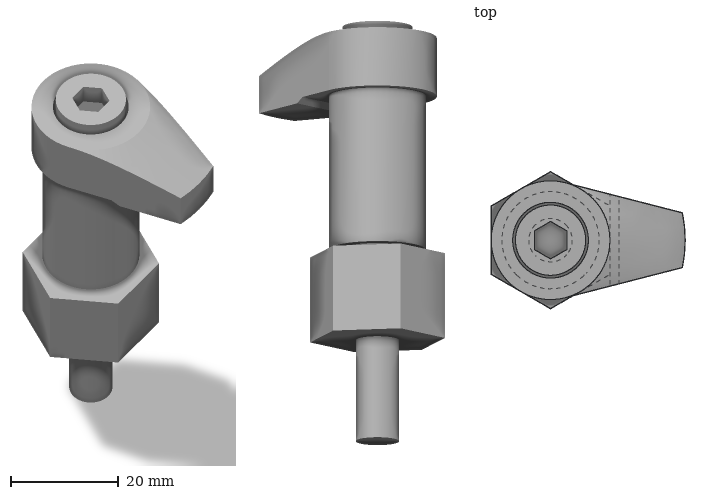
import cadquery as cq
import math

total_height = 78.0
lever_top = 76.0
lever_bottom = 65.0
sleeve_bottom = 36.0
hex_top = 35.0
hex_bottom = 19.0

hub_radius = 11.0
arm_reach = 24.95
arm_taper_angle = math.radians(14.4)
arm_tip_drop = 4.9
grip_drop = 0.9
grip_ramp_length = 1.6
sleeve_diameter = 18.0
bore_diameter = 14.05

hex_across_flats = 2 * hub_radius
stud_diameter = 8.0

screw_diameter = 13.0
socket_across_flats = 6.0
socket_depth = 4.0


def cylinder(diameter, bottom, top):
    return cq.Workplane("XY").workplane(offset=bottom).circle(diameter / 2).extrude(top - bottom)


def hexagon(across_flats, bottom, top):
    """Hexagonal prism with two corners on the Y axis."""
    across_corners = across_flats / math.cos(math.pi / 6)
    prism = cq.Workplane("XY").workplane(offset=bottom).polygon(6, across_corners).extrude(top - bottom)
    return prism.rotate((0, 0, 0), (0, 0, 1), 30)


def make_arm():
    """Arm with sides tangent to the hub, a conical top and a dropped underside."""
    tangent_x = hub_radius * math.sin(arm_taper_angle)
    tangent_y = hub_radius * math.cos(arm_taper_angle)
    side_length = math.sqrt(arm_reach**2 - hub_radius**2)
    corner_x = tangent_x + side_length * math.cos(arm_taper_angle)
    corner_y = tangent_y - side_length * math.sin(arm_taper_angle)
    grip_bottom = lever_bottom - grip_drop

    plan = (
        cq.Workplane("XY").workplane(offset=grip_bottom)
        .moveTo(0, 0)
        .lineTo(tangent_x, -tangent_y)
        .lineTo(corner_x, -corner_y)
        .threePointArc((arm_reach, 0), (corner_x, corner_y))
        .lineTo(tangent_x, tangent_y)
        .close()
        .extrude(lever_top - grip_bottom)
    )
    underside_profile = (
        cq.Workplane("XZ")
        .moveTo(0, lever_bottom)
        .lineTo(hub_radius, lever_bottom)
        .lineTo(hub_radius + grip_ramp_length, grip_bottom)
        .lineTo(arm_reach, grip_bottom)
        .lineTo(arm_reach, lever_top)
        .lineTo(0, lever_top)
        .close()
        .extrude(hub_radius, both=True)
    )
    cone_envelope = (
        cq.Workplane("XZ")
        .moveTo(0, grip_bottom)
        .lineTo(arm_reach, grip_bottom)
        .lineTo(arm_reach, lever_top - arm_tip_drop)
        .lineTo(hub_radius, lever_top)
        .lineTo(0, lever_top)
        .close()
        .revolve(360, (0, 0), (0, 1))
    )
    return plan.intersect(underside_profile).intersect(cone_envelope)


def make_handle():
    hub = cylinder(2 * hub_radius, lever_bottom, lever_top)
    sleeve = cylinder(sleeve_diameter, sleeve_bottom, lever_bottom)
    bore = cylinder(bore_diameter, sleeve_bottom, lever_top)
    return hub.union(make_arm()).union(sleeve).cut(bore)


def make_base():
    stud = cylinder(stud_diameter, 0, hex_bottom)
    hex_block = hexagon(hex_across_flats, hex_bottom, hex_top)
    spindle = cylinder(bore_diameter, hex_top, lever_bottom)
    return hex_block.union(stud).union(spindle)


def make_screw():
    """Screw standing on the spindle with clearance to the bore."""
    body = cylinder(screw_diameter, lever_bottom, total_height)
    socket = hexagon(socket_across_flats, total_height - socket_depth, total_height)
    return body.cut(socket)


handle = make_handle()
base = make_base()
screw = make_screw()

result = cq.Compound.makeCompound([handle.val(), base.val(), screw.val()])